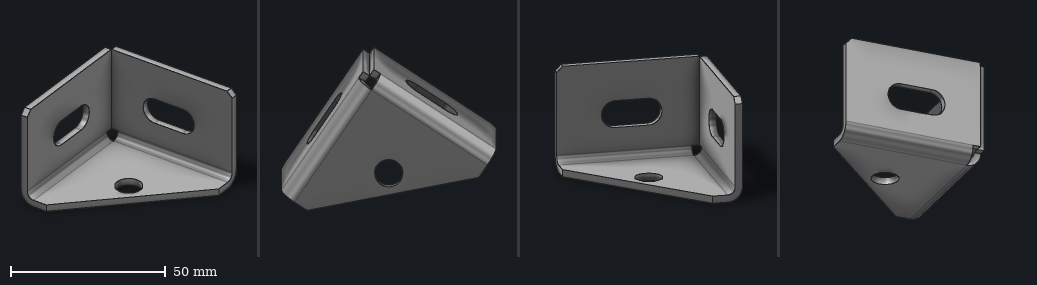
import cadquery as cq

LENGTH = 50.0
HEIGHT = 35.0
THICKNESS = 2.5
INNER_RADIUS = 2.5
OUTER_RADIUS = INNER_RADIUS + THICKNESS

BASE_END_WIDTH = 10.0
CORNER_CHAMFER = 2.0
SLOT_LENGTH = 20.0
HOLE_DIAMETER = 9.0

MIDDLE = LENGTH / 2
MID_HEIGHT = HEIGHT / 2
BEND_LENGTH = LENGTH - OUTER_RADIUS
FLANGE_LENGTH = LENGTH - THICKNESS


def make_base():
    """Flat base between the two bends, cut diagonally and drilled."""
    plate = (
        cq.Workplane("XY")
        .moveTo(OUTER_RADIUS, 0)
        .lineTo(BASE_END_WIDTH, 0)
        .lineTo(LENGTH, LENGTH - BASE_END_WIDTH)
        .lineTo(LENGTH, BEND_LENGTH)
        .lineTo(OUTER_RADIUS, BEND_LENGTH)
        .close()
        .extrude(THICKNESS)
    )
    hole = cq.Workplane("XY").center(MIDDLE, MIDDLE).circle(HOLE_DIAMETER / 2).extrude(THICKNESS)
    return plate.cut(hole)


def make_left_bend():
    """Quarter-round bend along Y joining the base to the left flange."""
    ring = (
        cq.Workplane("XZ", origin=(OUTER_RADIUS, 0, OUTER_RADIUS))
        .circle(OUTER_RADIUS)
        .circle(INNER_RADIUS)
        .extrude(-BEND_LENGTH)
    )
    quarter = cq.Workplane("XY").box(OUTER_RADIUS, BEND_LENGTH, OUTER_RADIUS, centered=False)
    return ring.intersect(quarter)


def make_left_flange():
    """Upright flange in the YZ plane with a chamfered free corner and a slot."""
    flange = (
        cq.Workplane("XY", origin=(0, 0, OUTER_RADIUS))
        .box(THICKNESS, FLANGE_LENGTH, HEIGHT - OUTER_RADIUS, centered=False)
        .edges("|X and >Z and <Y")
        .chamfer(CORNER_CHAMFER)
    )
    slot = (
        cq.Workplane("YZ")
        .center(MIDDLE, MID_HEIGHT)
        .slot2D(SLOT_LENGTH, HOLE_DIAMETER)
        .extrude(THICKNESS)
    )
    return flange.cut(slot)


left_side = make_left_bend().union(make_left_flange())

back_side = left_side.mirror(cq.Vector(1, 1, 0), (MIDDLE, MIDDLE, 0))
result = make_base().union(left_side).union(back_side)